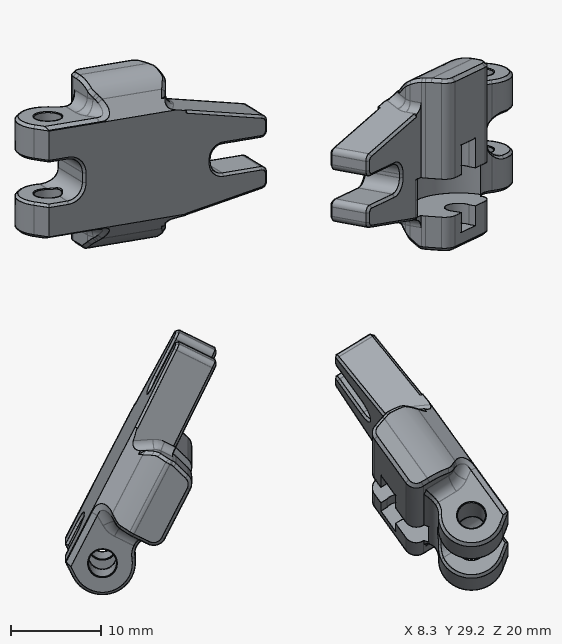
import cadquery as cq
import math


LEFT_X = -4.6
RIGHT_X = 3.7
TAIL_END_Y = 25.57
TOP_Z = 9.87
BOTTOM_Z = -10.08

ROOF_RADIUS = 5.84
ROOF_START_X = -2.4
ROOF_SLOPE = math.radians(45)
UNDERSIDE_FLAT_END_X = -1.0
UNDERSIDE_BLEND = 1.0

BODY_FRONT_Y = 4.83
BODY_BACK_Y = 14.5
FRONT_BEND_X = 0.65
FRONT_SLOPE = math.radians(34)
BACK_BEND_X = 0.45
BACK_SLOPE = math.radians(30)
BACK_TAPER_X = -1.65
BACK_TAPER = math.radians(18)
BEND_RADIUS = 1.5
CORNER_RADIUS = 1.4
BODY_CHAMFER = 0.4

HINGE_RADIUS = 3.65
HINGE_HALF_HEIGHT = 6.54
HINGE_FLANK = math.radians(37)
PIN_DIAMETER = 3.1
PIN_CHAMFER = 0.1
FORK_CHAMFER = 0.3
NECK_RADIUS = 2.1
NECK_ANGLE = math.radians(144)
FORK_HALF_GAP = 2.46
FORK_FLOOR_Y = 2.54
FORK_CORNER = 1.9
HINGE_FILLET = 1.5
HINGE_CHAMFER = 0.34

TAIL_LEFT_X = -1.35
TAIL_TIP_TOP_Z = 3.68
TAIL_TIP_BOTTOM_Z = -4.66
TAIL_TOP_SLOPE = 0.2195
TAIL_BOTTOM_SLOPE = 0.1725
TAIL_SLOT_TOP_Z = 1.22
TAIL_SLOT_BOTTOM_Z = -2.2
TAIL_SLOT_FLOOR_Y = 18.53
TAIL_SLOT_CORNER = 1.5
TINE_CORNER = 0.75
TAIL_FILLET = 1.1
TAIL_CHAMFER = 0.3
TAIL_ROOT_END_Y = 15.4
TAIL_ROOT_TOP_Z = 7.35
TAIL_ROOT_BOTTOM_Z = -7.75

SOCKET_X = -3.33
SOCKET_Y = 9.76
SOCKET_WIDTH = 2.96
SOCKET_TOP_Z = 1.78
SOCKET_BOTTOM_Z = -8.38
SWING_RADIUS = 5.4
SWING_TOP_Z = -1.67
SWING_BOTTOM_Z = -6.08
SWING_BLEND = 1.3

ROOT_Y = (BODY_FRONT_Y + BODY_BACK_Y) / 2
CLEARANCE = 2.0
MARGIN = 0.1


def near(a, b):
    """Tell whether two coordinates coincide."""
    return abs(a - b) < 0.002


def pick(part, test):
    """Select the edges of a part whose bounding box and centre pass a test."""
    return part.newObject([e for e in part.edges().vals() if test(e.BoundingBox(), e.Center())])


def body_prism():
    """Body plan, taller than the roof that later trims it."""
    front_rise = (RIGHT_X - FRONT_BEND_X) * math.tan(FRONT_SLOPE)
    back_drop = (RIGHT_X - BACK_BEND_X) * math.tan(BACK_SLOPE)
    taper_drop = (BACK_TAPER_X - LEFT_X) * math.tan(BACK_TAPER)
    plan = [
        (LEFT_X, BODY_FRONT_Y),
        (FRONT_BEND_X, BODY_FRONT_Y),
        (RIGHT_X, BODY_FRONT_Y + front_rise),
        (RIGHT_X, BODY_BACK_Y - back_drop),
        (BACK_BEND_X, BODY_BACK_Y),
        (BACK_TAPER_X, BODY_BACK_Y),
        (LEFT_X, BODY_BACK_Y - taper_drop),
    ]
    height = TOP_Z - BOTTOM_Z + 2 * CLEARANCE
    prism = cq.Workplane("XY").workplane(offset=BOTTOM_Z - CLEARANCE).polyline(plan).close().extrude(height)
    prism = prism.edges("|Z and <X").fillet(CORNER_RADIUS)
    for bend in ((FRONT_BEND_X, BODY_FRONT_Y), (BACK_BEND_X, BODY_BACK_Y), (BACK_TAPER_X, BODY_BACK_Y)):
        prism = prism.edges(cq.selectors.NearestToPointSelector((*bend, 0))).fillet(BEND_RADIUS)
    return prism


def hinge_prism():
    """Round-ended hinge plate with its waisted neck, before the fork is cut."""
    neck_start = (HINGE_RADIUS * math.cos(NECK_ANGLE), HINGE_RADIUS * math.sin(NECK_ANGLE))
    reach = HINGE_RADIUS + NECK_RADIUS
    neck_x = reach * math.cos(NECK_ANGLE)
    neck_y = reach * math.sin(NECK_ANGLE)
    neck_end_y = BODY_FRONT_Y + 0.1
    neck_end_x = neck_x + math.sqrt(NECK_RADIUS**2 - (neck_end_y - neck_y)**2)
    flank_x = HINGE_RADIUS * math.sin(HINGE_FLANK)
    flank_y = -HINGE_RADIUS * math.cos(HINGE_FLANK)
    flank_end_y = flank_y + (RIGHT_X - flank_x) * math.tan(HINGE_FLANK)
    return (
        cq.Workplane("XY").workplane(offset=-HINGE_HALF_HEIGHT)
        .moveTo(RIGHT_X, ROOT_Y)
        .lineTo(RIGHT_X, flank_end_y)
        .lineTo(flank_x, flank_y)
        .threePointArc((-HINGE_RADIUS, 0), neck_start)
        .threePointArc((neck_x + NECK_RADIUS, neck_y), (neck_end_x, neck_end_y))
        .lineTo(neck_end_x, ROOT_Y)
        .close()
        .extrude(2 * HINGE_HALF_HEIGHT)
    )


def tail_prism():
    """Tapered tail plate, before its slot is cut."""
    length = TAIL_END_Y - ROOT_Y
    outline = [
        (ROOT_Y, TAIL_TIP_TOP_Z + length * TAIL_TOP_SLOPE),
        (TAIL_END_Y, TAIL_TIP_TOP_Z),
        (TAIL_END_Y, TAIL_TIP_BOTTOM_Z),
        (ROOT_Y, TAIL_TIP_BOTTOM_Z - length * TAIL_BOTTOM_SLOPE),
    ]
    return (
        cq.Workplane("YZ").workplane(offset=TAIL_LEFT_X).polyline(outline).close()
        .extrude(RIGHT_X - TAIL_LEFT_X)
    )


def roof_envelope():
    """XZ profile that rounds the top and underside towards the flat back."""
    def roof_point(angle):
        return (
            ROOF_START_X + ROOF_RADIUS * math.sin(angle),
            TOP_Z - ROOF_RADIUS * (1 - math.cos(angle)),
        )

    half_x, half_z = roof_point(ROOF_SLOPE / 2)
    end_x, end_z = roof_point(ROOF_SLOPE)
    mid_x, mid_z = roof_point(ROOF_SLOPE * 0.7)
    eave_z = end_z - (RIGHT_X - end_x) * math.tan(ROOF_SLOPE)
    return (
        cq.Workplane("XZ").workplane(offset=-TAIL_END_Y - CLEARANCE)
        .moveTo(LEFT_X, BOTTOM_Z)
        .lineTo(LEFT_X, TOP_Z)
        .lineTo(ROOF_START_X, TOP_Z)
        .threePointArc((half_x, half_z), (end_x, end_z))
        .lineTo(RIGHT_X, eave_z)
        .lineTo(RIGHT_X, -eave_z)
        .lineTo(end_x, -end_z)
        .threePointArc((mid_x, -mid_z), (UNDERSIDE_FLAT_END_X, BOTTOM_Z))
        .close()
        .extrude(TAIL_END_Y + HINGE_RADIUS + 2 * CLEARANCE)
        .edges(cq.selectors.NearestToPointSelector((UNDERSIDE_FLAT_END_X, ROOT_Y, BOTTOM_Z)))
        .fillet(UNDERSIDE_BLEND)
    )


def fork_cutter():
    """Gap between the hinge arms, rounded at its floor."""
    depth = FORK_FLOOR_Y + HINGE_RADIUS + CLEARANCE
    return (
        cq.Workplane("XY")
        .box(4 * HINGE_RADIUS, depth, 2 * FORK_HALF_GAP)
        .translate((0, FORK_FLOOR_Y - depth / 2, 0))
        .edges("|X and >Y").fillet(FORK_CORNER)
    )


def tail_slot_cutter():
    """Open slot between the tail tines, rounded at its floor."""
    width = RIGHT_X - TAIL_LEFT_X + 2 * CLEARANCE
    depth = TAIL_END_Y + CLEARANCE - TAIL_SLOT_FLOOR_Y
    height = TAIL_SLOT_TOP_Z - TAIL_SLOT_BOTTOM_Z
    return (
        cq.Workplane("XY")
        .box(width, depth, height)
        .translate((
            (RIGHT_X + TAIL_LEFT_X) / 2,
            TAIL_SLOT_FLOOR_Y + depth / 2,
            (TAIL_SLOT_TOP_Z + TAIL_SLOT_BOTTOM_Z) / 2,
        ))
        .edges("|X and <Y").fillet(TAIL_SLOT_CORNER)
    )


def pin_pocket():
    """Blind snap-in pocket, open towards the clip side."""
    height = SOCKET_TOP_Z - SOCKET_BOTTOM_Z
    base = cq.Workplane("XY").workplane(offset=SOCKET_BOTTOM_Z)
    bore = base.center(SOCKET_X, SOCKET_Y).circle(PIN_DIAMETER / 2).extrude(height)
    mouth_left = LEFT_X - CLEARANCE
    mouth = (
        cq.Workplane("XY").workplane(offset=SOCKET_BOTTOM_Z)
        .center((mouth_left + SOCKET_X) / 2, SOCKET_Y)
        .rect(SOCKET_X - mouth_left, SOCKET_WIDTH).extrude(height)
    )
    return bore.union(mouth)


def swing_slot():
    """Slot with a floor concentric to the pin pocket, blended into the tail face."""
    blend_x = TAIL_LEFT_X + SWING_BLEND
    reach = SWING_RADIUS + SWING_BLEND
    blend_angle = math.acos((blend_x - SOCKET_X) / reach)
    blend_y = SOCKET_Y + reach * math.sin(blend_angle)
    join = (
        SOCKET_X + SWING_RADIUS * math.cos(blend_angle),
        SOCKET_Y + SWING_RADIUS * math.sin(blend_angle),
    )
    half_angle = blend_angle / 2
    blend_mid = (
        blend_x - SWING_BLEND * math.cos(half_angle),
        blend_y - SWING_BLEND * math.sin(half_angle),
    )
    outer_x = LEFT_X - CLEARANCE
    floor_y = SOCKET_Y - SWING_RADIUS
    return (
        cq.Workplane("XY").workplane(offset=SWING_BOTTOM_Z)
        .moveTo(outer_x, floor_y)
        .lineTo(SOCKET_X, floor_y)
        .threePointArc((SOCKET_X + SWING_RADIUS, SOCKET_Y), join)
        .threePointArc(blend_mid, (TAIL_LEFT_X, blend_y))
        .lineTo(outer_x, blend_y)
        .close()
        .extrude(SWING_TOP_Z - SWING_BOTTOM_Z)
    )


def body_with_hinge():
    """Body and hinge plate with filleted roots and bevelled hinge rims."""
    def is_root(box, centre):
        on_hinge_face = near(abs(box.zmin), HINGE_HALF_HEIGHT) and near(box.zmin, box.zmax)
        return on_hinge_face and box.ymin > BODY_FRONT_Y - 0.01 and centre.x < RIGHT_X - MARGIN

    def is_hinge_rim(box, centre):
        foot_y = BODY_FRONT_Y - HINGE_FILLET
        on_face = near(abs(centre.z), HINGE_HALF_HEIGHT) and box.ymin < foot_y - MARGIN
        outer = on_face and centre.x < RIGHT_X - MARGIN and box.ymax < foot_y + MARGIN
        above_face = abs(centre.z) > HINGE_HALF_HEIGHT + MARGIN
        on_fillet = above_face and near(box.ymin, foot_y) and box.xmax < ROOF_START_X
        return outer or on_fillet

    part = body_prism().union(hinge_prism())
    part = pick(part, is_root).fillet(HINGE_FILLET)
    return pick(part, is_hinge_rim).chamfer(HINGE_CHAMFER)


def cut_fork(part):
    """Open the hinge fork and bevel its outline."""
    def is_fork_rim(box, centre):
        in_gap = box.ymax < FORK_FLOOR_Y + 0.01 and abs(centre.z) < FORK_HALF_GAP + 0.01
        across = near(box.ymin, box.ymax) and not near(box.xmin, box.xmax)
        return in_gap and not across

    return pick(part.cut(fork_cutter()), is_fork_rim).chamfer(FORK_CHAMFER)


def chamfer_body_rims(part):
    """Bevel the front and back walls of the body along the roof and the underside."""
    slope_start_z = TOP_Z - ROOF_RADIUS * (1 - math.cos(ROOF_SLOPE))
    front_limit_y = 6.0
    back_limit_y = BODY_BACK_Y - 2
    tallest_rim = 1.5

    def is_rim(box, centre):
        level = not near(box.xmin, box.xmax) and box.zmax - box.zmin < tallest_rim
        on_wall = box.ymin > BODY_FRONT_Y - MARGIN and (box.ymax < front_limit_y or box.ymin > back_limit_y)
        return level and on_wall and abs(centre.z) > slope_start_z

    part = pick(part, lambda box, centre: is_rim(box, centre) and centre.z > 0).chamfer(BODY_CHAMFER)
    return pick(part, lambda box, centre: is_rim(box, centre) and centre.z < 0).chamfer(BODY_CHAMFER)


def forked_tail():
    """Tail plate with its slot, rounded tines and bevelled side outlines."""
    def is_side_outline(box, centre):
        on_side = near(box.xmin, box.xmax) and (near(box.xmin, TAIL_LEFT_X) or near(box.xmin, RIGHT_X))
        return on_side and centre.y > ROOT_Y + MARGIN

    tail = tail_prism().cut(tail_slot_cutter())
    tail = tail.edges("|X").edges(">Y").fillet(TINE_CORNER)
    return pick(tail, is_side_outline).chamfer(TAIL_CHAMFER)


def tail_with_root():
    """Tail joined to a slab of the body through its root fillets."""
    def is_root(box, centre):
        on_wall = BODY_BACK_Y - 1.5 < centre.y < BODY_BACK_Y + 0.5
        at_tail_edge = 5 < abs(centre.z) < 8 and box.zmax - box.zmin < 2
        return on_wall and at_tail_edge and -1.4 < centre.x < RIGHT_X - MARGIN

    rooted = pick(body_prism().union(tail_prism()), is_root).fillet(TAIL_FILLET)
    slab = (
        cq.Workplane("XY")
        .box(4 * (RIGHT_X - LEFT_X), TAIL_ROOT_END_Y - ROOT_Y, TAIL_ROOT_TOP_Z - TAIL_ROOT_BOTTOM_Z)
        .translate((0, (ROOT_Y + TAIL_ROOT_END_Y) / 2, (TAIL_ROOT_TOP_Z + TAIL_ROOT_BOTTOM_Z) / 2))
    )
    return rooted.intersect(slab.union(forked_tail())).intersect(roof_envelope())


def drill_pin_hole(part):
    """Hinge pin hole through both arms, with lightly broken rims."""
    def is_hole_rim(box, centre):
        around_axis = math.hypot(centre.x, centre.y) < 1.0
        return around_axis and abs(centre.z) < HINGE_HALF_HEIGHT + MARGIN and box.zmax - box.zmin < 1

    bore = cq.Workplane("XY").circle(PIN_DIAMETER / 2).extrude(2 * HINGE_HALF_HEIGHT, both=True)
    return pick(part.cut(bore), is_hole_rim).chamfer(PIN_CHAMFER)


part = body_with_hinge().intersect(roof_envelope())
part = chamfer_body_rims(cut_fork(part))
part = part.union(tail_with_root())
part = drill_pin_hole(part)
result = part.cut(pin_pocket()).cut(swing_slot())